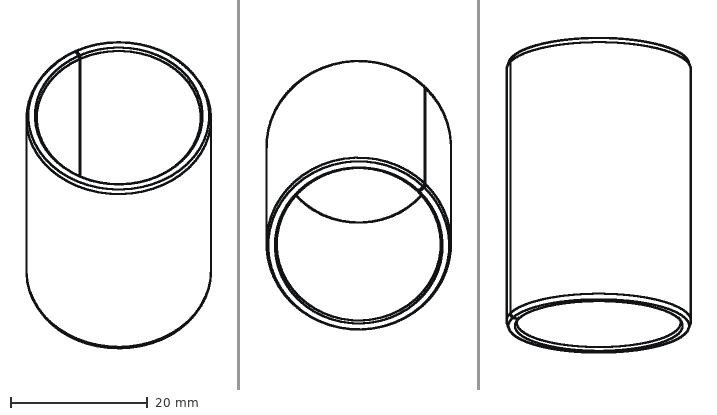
import cadquery as cq

length = 40.0
outer_diameter = 27.0
wall = 1.5
slit_width = 0.2

outer_chamfer_height = 0.75
outer_chamfer_depth = 0.3
inner_chamfer_height = 0.5
inner_chamfer_depth = 0.3

outer_radius = outer_diameter / 2
inner_radius = outer_radius - wall
half_length = length / 2


def wall_profile():
    """Half section of the wall, radius along X and height along Z."""
    end_outer_radius = outer_radius - outer_chamfer_depth
    end_inner_radius = inner_radius + inner_chamfer_depth
    outer_edge = half_length - outer_chamfer_height
    inner_edge = half_length - inner_chamfer_height
    return cq.Workplane("XZ").polyline([
        (inner_radius, -inner_edge),
        (end_inner_radius, -half_length),
        (end_outer_radius, -half_length),
        (outer_radius, -outer_edge),
        (outer_radius, outer_edge),
        (end_outer_radius, half_length),
        (end_inner_radius, half_length),
        (inner_radius, inner_edge),
    ]).close()


def slit():
    """Full-length cutter reaching from the axis out past the -X wall."""
    return cq.Workplane("XY").box(
        outer_diameter, slit_width, length, centered=(False, True, True)
    ).translate((-outer_diameter, slit_width / 2, 0))


tube = wall_profile().revolve(360, (0, 0, 0), (0, 1, 0))
result = tube.cut(slit())